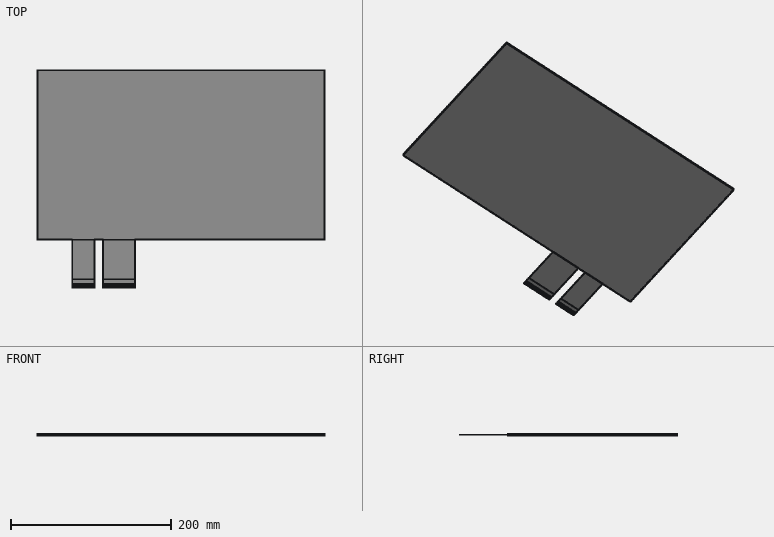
import cadquery as cq

panel_length = 358.0
panel_width = 211.2
panel_thickness = 2.35

overall_width = 271.0
tail_reach = overall_width - panel_width
tip_y = -tail_reach
film_thickness = 0.07
film_bottom = 1.3
film_top = film_bottom + film_thickness
tails = [(43.3, 28.0), (81.5, 40.0)]

cover_thickness = 0.15

stiffener_length = 10.0
stiffener_thickness = 0.18

pad_length = 4.5
pad_width = 0.5
pad_pitch = 2 * pad_width
pad_thickness = cover_thickness / 2
pad_row_margin = 0.7


def block(x, y, z, length, width, height):
    """Box with its lowest corner at (x, y, z)."""
    return cq.Workplane("XY").box(length, width, height, centered=False).translate((x, y, z))


def make_pads(left, width):
    """Row of pads centred across the tail, flush with its tip."""
    pad_count = int((width - 2 * pad_row_margin) / pad_pitch) + 1
    row_centre = (left + width / 2, tip_y + pad_length / 2, film_bottom)
    return (
        cq.Workplane("XY", origin=row_centre)
        .rarray(pad_pitch, 3.5, pad_count, 1)
        .rect(pad_width, pad_length)
        .extrude(-pad_thickness)
    )


def make_tail(left, width):
    """Film from the panel edge to the tip, with its stiffener, cover film and pads."""
    film = block(left, tip_y, film_bottom, width, tail_reach, film_thickness)
    stiffener = block(left, tip_y, film_top, width, stiffener_length, stiffener_thickness)
    cover_length = tail_reach - pad_length
    cover = block(left, -cover_length, film_bottom - cover_thickness, width, cover_length, cover_thickness)
    return film.union(stiffener).union(cover).union(make_pads(left, width))


result = block(0, 0, 0, panel_length, panel_width, panel_thickness)
for tail_left, tail_width in tails:
    result = result.union(make_tail(tail_left, tail_width))